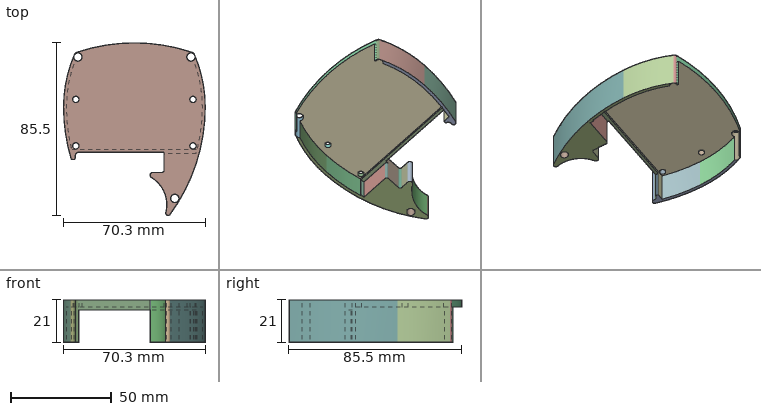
import cadquery as cq
import math

height = 21.0
half_width = 35.125
widest_y = -24.7

rear_apex_y = 7.04
rear_radius = 89.0
rear_side_radius = 65.0
front_side_radius = 90.0
rear_corner_x = 29.4
rear_corner_round = 1.8

overall_length = 85.53
notch_rear_y = -47.2
notch_front_y = -57.1
notch_right_x = 14.6
notch_left_round = 1.7
notch_right_round = 1.0
tab_inner_x = -29.2
tab_tip_y = -50.85
tab_round = 1.15
hook_round = 1.4
front_point_round = 1.2
grip_center = (0.26, -73.14)

wall_thickness = 1.5
plate_thickness = 3.5
lip_depth = 5.0
lip_thickness = 1.5
opening_overlap = 0.5
opening_round = 1.0

corner_hole_diameter = 4.0
corner_hole_x = 28.0
hook_hole = (20.0, -70.0)
screw_hole_diameter = 3.0
screw_hole_x = 29.0
screw_hole_rows = (-21.0, -44.0)

front_side_center = (half_width - front_side_radius, widest_y)
front_round_y = rear_apex_y - overall_length + front_point_round
front_round_center = (
    front_side_center[0]
    + math.sqrt((front_side_radius - front_point_round) ** 2 - (front_round_y - widest_y) ** 2),
    front_round_y,
)
grip_radius = math.dist(grip_center, front_round_center) - front_point_round
hook_round_y = notch_front_y - hook_round
hook_round_center = (
    grip_center[0] + math.sqrt((grip_radius + hook_round) ** 2 - (hook_round_y - grip_center[1]) ** 2),
    hook_round_y,
)


def rear_y(x):
    """Y of the rear arc at x."""
    return rear_apex_y - rear_radius + math.sqrt(rear_radius**2 - x**2)


def side_x(y, inset=0):
    """Distance of either side from the centreline at y, moved inward by inset."""
    radius = rear_side_radius if y > widest_y else front_side_radius
    return half_width - radius + math.sqrt((radius - inset) ** 2 - (y - widest_y) ** 2)


def point_toward(center, target, distance):
    """Point at a distance from center, on the line toward target."""
    step = distance / math.dist(center, target)
    return (
        center[0] + step * (target[0] - center[0]),
        center[1] + step * (target[1] - center[1]),
    )


def side_point(y, side, inset=0):
    """Point of the right (side = 1) or left (side = -1) outline at y, moved inward by inset."""
    return (side * side_x(y, inset), y)


def round_upright(body, point, radius):
    """Round the upright edge nearest to a point of the outline."""
    nearest = cq.selectors.NearestToPointSelector((*point, height / 2))
    return body.edges("|Z").edges(nearest).fillet(radius)


def make_body():
    """Full-height block with the outer outline, the notch, the tab and the hook."""
    corner_y = rear_y(rear_corner_x)
    corner_x = side_x(corner_y)
    rear_mid_y = (corner_y + widest_y) / 2

    front_side_end = point_toward(front_side_center, front_round_center, front_side_radius)
    front_point_tip = (front_round_center[0], front_round_y - front_point_round)
    grip_start = point_toward(front_round_center, grip_center, front_point_round)
    grip_end = point_toward(hook_round_center, grip_center, hook_round)
    chord_middle = ((grip_start[0] + grip_end[0]) / 2, (grip_start[1] + grip_end[1]) / 2)
    grip_middle = point_toward(grip_center, chord_middle, grip_radius)
    hook_tip = (hook_round_center[0] - hook_round, hook_round_y)

    notch_right_corner = (notch_right_x, notch_front_y)
    notch_left_corner = (tab_inner_x, notch_rear_y)
    tab_inner_corner = (tab_inner_x, tab_tip_y)
    tab_outer_corner = side_point(tab_tip_y, -1)

    body = (
        cq.Workplane("XY")
        .moveTo(-corner_x, corner_y)
        .threePointArc((0, rear_apex_y), (corner_x, corner_y))
        .threePointArc(side_point(rear_mid_y, 1), side_point(widest_y, 1))
        .threePointArc(side_point((widest_y + front_side_end[1]) / 2, 1), front_side_end)
        .threePointArc(front_point_tip, grip_start)
        .threePointArc(grip_middle, grip_end)
        .threePointArc(hook_tip, (hook_round_center[0], notch_front_y))
        .lineTo(*notch_right_corner)
        .lineTo(notch_right_x, notch_rear_y)
        .lineTo(*notch_left_corner)
        .lineTo(*tab_inner_corner)
        .lineTo(*tab_outer_corner)
        .threePointArc(side_point((widest_y + tab_tip_y) / 2, -1), side_point(widest_y, -1))
        .threePointArc(side_point(rear_mid_y, -1), (-corner_x, corner_y))
        .close()
        .extrude(height)
    )
    rounds = [
        ((-corner_x, corner_y), rear_corner_round),
        ((corner_x, corner_y), rear_corner_round),
        (notch_right_corner, notch_right_round),
        (notch_left_corner, notch_left_round),
        (tab_inner_corner, tab_round),
        (tab_outer_corner, tab_round),
    ]
    for point, radius in rounds:
        body = round_upright(body, point, radius)
    return body


def make_cavity():
    """Cutter between the side walls, from behind the lip out through the rear."""
    front_y = notch_rear_y + lip_thickness
    rear_mid_y = (rear_apex_y + widest_y) / 2
    front_mid_y = (front_y + widest_y) / 2

    def wall_point(y, side):
        return side_point(y, side, wall_thickness)

    return (
        cq.Workplane("XY")
        .moveTo(*wall_point(front_y, -1))
        .lineTo(*wall_point(front_y, 1))
        .threePointArc(wall_point(front_mid_y, 1), wall_point(widest_y, 1))
        .threePointArc(wall_point(rear_mid_y, 1), wall_point(rear_apex_y, 1))
        .lineTo(*wall_point(rear_apex_y, -1))
        .threePointArc(wall_point(rear_mid_y, -1), wall_point(widest_y, -1))
        .threePointArc(wall_point(front_mid_y, -1), wall_point(front_y, -1))
        .close()
        .extrude(height - plate_thickness)
    )


def make_opening(front_y):
    """Cutter under the lip, joining the cavity to the notch and running on behind the hook."""
    left_x = tab_inner_x + notch_left_round
    width = side_x(front_y, wall_thickness) - left_x
    depth = notch_rear_y + lip_thickness - front_y
    opening_height = height - lip_depth
    opening = cq.Workplane("XY").box(width, depth, opening_height, centered=False)
    return opening.translate((left_x, front_y, 0))


def cut_cavity(body):
    """Hollow the body, leaving a lip under the plate along the notch."""
    opening_front_y = notch_rear_y - opening_overlap
    body = body.cut(make_cavity())
    body = body.cut(make_opening(opening_front_y))
    return round_upright(body, (notch_right_x, opening_front_y), opening_round)


def cut_holes(body, points, diameter):
    holes = cq.Workplane("XY").pushPoints(points).circle(diameter / 2).extrude(height)
    return body.cut(holes)


corner_holes = [(-corner_hole_x, 0), (corner_hole_x, 0), hook_hole]
screw_holes = [(side * screw_hole_x, y) for side in (-1, 1) for y in screw_hole_rows]

result = cut_cavity(make_body())
result = cut_holes(result, corner_holes, corner_hole_diameter)
result = cut_holes(result, screw_holes, screw_hole_diameter)